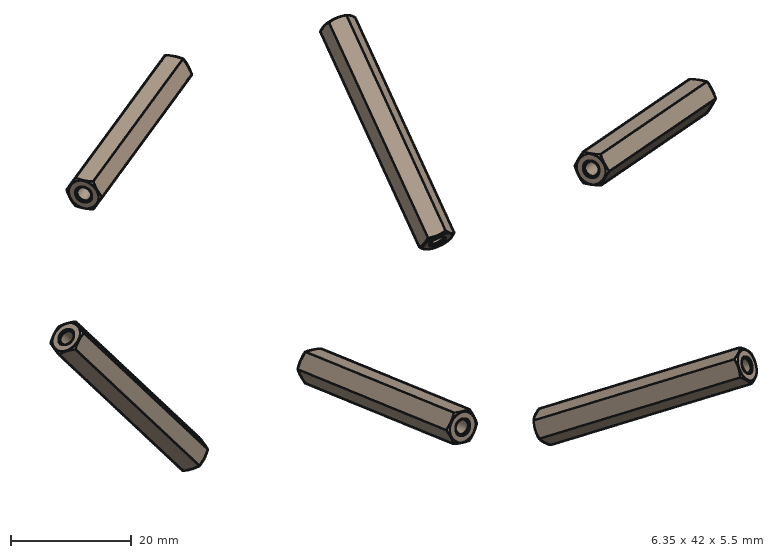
import cadquery as cq
import math

length = 42.0
across_flats = 5.5
across_corners = across_flats / math.cos(math.radians(30))

chamfer_face_diameter = 5.3
chamfer_angle = 30.0
envelope_clearance = 0.4

hole_diameter = 2.5
hole_depth = 10.1
drill_point_angle = 118.0
countersink_diameter = 3.02
countersink_depth = (countersink_diameter - hole_diameter) / 2


def revolve_about_y(points):
    return cq.Workplane("XY").polyline(points).close().revolve(360, (0, 0, 0), (0, 1, 0))


def hex_bar():
    return cq.Workplane("XZ").polygon(6, across_corners).extrude(length / 2, both=True)


def chamfer_envelope():
    """Round bar with coned ends that trims the corners of the hexagon."""
    face_radius = chamfer_face_diameter / 2
    outer_radius = across_corners / 2 + envelope_clearance
    cone_height = (outer_radius - face_radius) * math.tan(math.radians(chamfer_angle))
    end = length / 2
    shoulder = end - cone_height
    return revolve_about_y([
        (0, -end),
        (face_radius, -end),
        (outer_radius, -shoulder),
        (outer_radius, shoulder),
        (face_radius, end),
        (0, end),
    ])


def front_hole():
    """Countersunk blind hole entering from the -Y end."""
    radius = hole_diameter / 2
    point_height = radius / math.tan(math.radians(drill_point_angle / 2))
    face = -length / 2
    return revolve_about_y([
        (0, face),
        (countersink_diameter / 2, face),
        (radius, face + countersink_depth),
        (radius, face + hole_depth),
        (0, face + hole_depth + point_height),
    ])


hole = front_hole()
result = hex_bar().intersect(chamfer_envelope()).cut(hole).cut(hole.mirror("XZ"))